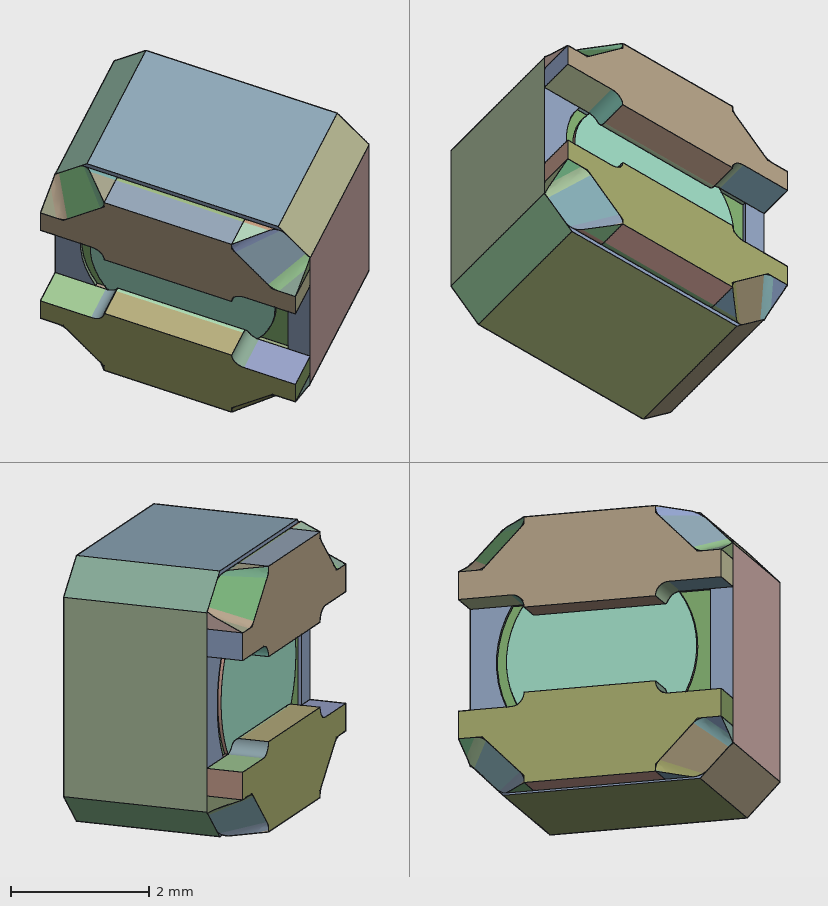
import cadquery as cq
import math

WIDTH = 4.0
HALF = WIDTH / 2
SHIELD_DEPTH = 2.24
TERMINAL_DEPTH = 0.56
CORNER_CHAMFER = 0.5

RECESS_RADIUS = 1.6
RECESS_FLAT_X = 1.655
RECESS_DEPTH = 0.05
CORE_RADIUS = 1.45

BAR_HALF_WIDTH = 1.0
BAR_INNER_Z = 0.64
WING_INNER_Z = 0.84
WING_OUTER_Z = 1.255
SLOPE_OUTER_Z = 1.895
SLOPE_INNER_X = BAR_HALF_WIDTH + SLOPE_OUTER_Z - WING_OUTER_Z
NOTCH_RADIUS = WING_INNER_Z - BAR_INNER_Z
BACK_ROUND = 0.12

BLEND_RADIUS = 0.25
CUTTER_MARGIN = 0.2

UPPER_AND_LOWER = (1, -1)
RIGHT_AND_LEFT = (1, -1)


def extrude_forward(outline):
    """Extrude an outline on the XZ plane from the seat to the front faces of the terminals."""
    return outline.extrude(TERMINAL_DEPTH)


def make_core():
    """Round disc set into the shield, flush with its front face."""
    return cq.Workplane("XZ").circle(CORE_RADIUS).extrude(-RECESS_DEPTH)


def make_shield(core):
    """Octagonal block with a socket for the core and a recess between the terminal wings."""
    block = (
        cq.Workplane("XZ")
        .rect(WIDTH, WIDTH)
        .extrude(-SHIELD_DEPTH)
        .edges("|Y")
        .chamfer(CORNER_CHAMFER)
    )
    recess_corner_x = math.sqrt(RECESS_RADIUS**2 - WING_INNER_Z**2)
    recess = (
        cq.Workplane("XZ")
        .moveTo(-recess_corner_x, WING_INNER_Z)
        .threePointArc((-RECESS_RADIUS, 0), (-recess_corner_x, -WING_INNER_Z))
        .lineTo(RECESS_FLAT_X, -WING_INNER_Z)
        .lineTo(RECESS_FLAT_X, WING_INNER_Z)
        .close()
        .extrude(-RECESS_DEPTH)
    )
    return block.cut(recess).cut(core)


def make_rounded_slab():
    """Full-width slab whose long edges are rounded along the seat."""
    slab = (
        cq.Workplane("XZ")
        .center(0, (HALF + BAR_INNER_Z) / 2)
        .rect(WIDTH, HALF - BAR_INNER_Z)
    )
    return extrude_forward(slab).edges(">Y and |X").fillet(BACK_ROUND)


def make_upper_terminal():
    """Centre bar with two wings, sloped shoulders and rounded inner notches."""
    outline = (
        cq.Workplane("XZ")
        .moveTo(0, HALF)
        .lineTo(BAR_HALF_WIDTH, HALF)
        .lineTo(BAR_HALF_WIDTH, SLOPE_OUTER_Z)
        .lineTo(SLOPE_INNER_X, WING_OUTER_Z)
        .lineTo(HALF, WING_OUTER_Z)
        .lineTo(HALF, WING_INNER_Z)
        .lineTo(BAR_HALF_WIDTH + NOTCH_RADIUS, WING_INNER_Z)
        .radiusArc((BAR_HALF_WIDTH, BAR_INNER_Z), -NOTCH_RADIUS)
        .lineTo(0, BAR_INNER_Z)
        .mirrorY()
    )
    return extrude_forward(outline).intersect(make_rounded_slab())


def make_corner_cutter():
    """Tapered tool that slopes a corner from the octagon edge down to the terminal outline."""
    outside = HALF + CUTTER_MARGIN
    octagon_edge = HALF - CORNER_CHAMFER
    seat_outline = [
        (octagon_edge, outside),
        (octagon_edge, HALF),
        (HALF, octagon_edge),
        (outside, octagon_edge),
        (outside, outside),
    ]
    front_outline = [
        (BAR_HALF_WIDTH, outside),
        (BAR_HALF_WIDTH, SLOPE_OUTER_Z),
        (SLOPE_INNER_X, WING_OUTER_Z),
        (outside, WING_OUTER_Z),
        (outside, outside),
    ]
    tool = (
        cq.Workplane("XZ")
        .polyline(seat_outline)
        .close()
        .workplane(offset=TERMINAL_DEPTH)
        .polyline(front_outline)
        .close()
        .loft(ruled=True)
    )
    middle_y = -TERMINAL_DEPTH / 2
    upper_edge_middle = ((octagon_edge + BAR_HALF_WIDTH) / 2, middle_y, (HALF + SLOPE_OUTER_Z) / 2)
    lower_edge_middle = ((HALF + SLOPE_INNER_X) / 2, middle_y, (octagon_edge + WING_OUTER_Z) / 2)
    upper_edge = tool.edges(cq.NearestToPointSelector(upper_edge_middle))
    lower_edge = tool.edges(cq.NearestToPointSelector(lower_edge_middle))
    return upper_edge.add(lower_edge).fillet(BLEND_RADIUS)


def make_corner_wedge(upper_terminal):
    """Filler in the upper right corner, tapering from the seat to the front of the terminal."""
    corner_outline = (
        cq.Workplane("XZ")
        .moveTo(BAR_HALF_WIDTH, WING_OUTER_Z)
        .lineTo(HALF, WING_OUTER_Z)
        .lineTo(HALF, HALF)
        .lineTo(BAR_HALF_WIDTH, HALF)
        .close()
    )
    corner = extrude_forward(corner_outline).intersect(make_rounded_slab())
    return corner.cut(upper_terminal).cut(make_corner_cutter())


core = make_core()
shield = make_shield(core)

upper_terminal = make_upper_terminal()
terminals = []
for side in UPPER_AND_LOWER:
    terminal = upper_terminal if side > 0 else upper_terminal.mirror("XY")
    terminals.append(terminal.val())

upper_right_wedge = make_corner_wedge(upper_terminal)
wedges = []
for side in UPPER_AND_LOWER:
    for hand in RIGHT_AND_LEFT:
        wedge = upper_right_wedge if side > 0 else upper_right_wedge.mirror("XY")
        wedge = wedge if hand > 0 else wedge.mirror("YZ")
        wedges.append(wedge.val())

result = cq.Compound.makeCompound([shield.val(), core.val(), *terminals, *wedges])